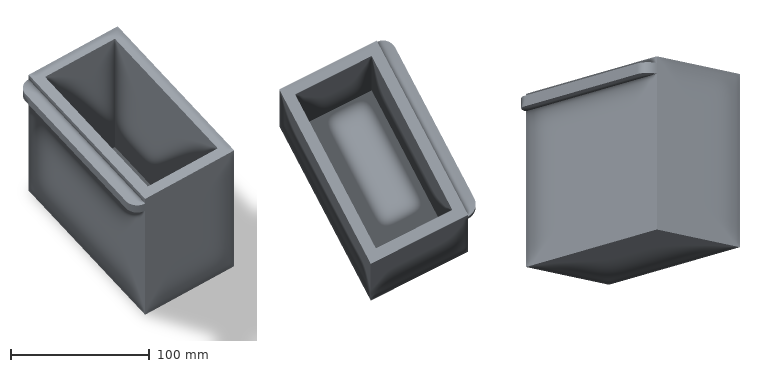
import cadquery as cq

box_width = 144.5
box_depth = 79.0
box_height = 129.0
wall = 8.5
floor = wall

ledge_reach = 10.0
ledge_thickness = 8.0
ledge_drop = 5.0
ledge_corner_radius = ledge_reach


def make_box():
    """Open-topped rectangular box, centred on X with its front face at Y = 0."""
    outer = cq.Workplane("XY").box(box_width, box_depth, box_height, centered=(True, False, False))
    cavity = (
        cq.Workplane("XY")
        .box(box_width - 2 * wall, box_depth - 2 * wall, box_height - floor, centered=(True, False, False))
        .translate((0, wall, floor))
    )
    return outer.cut(cavity)


def make_ledge():
    """Full-width ledge below the rim, rooted in the front wall, with rounded outer corners."""
    ledge_bottom = box_height - ledge_drop - ledge_thickness
    return (
        cq.Workplane("XY")
        .box(box_width, ledge_reach + wall, ledge_thickness, centered=(True, False, False))
        .edges("|Z and <Y")
        .fillet(ledge_corner_radius)
        .translate((0, -ledge_reach, ledge_bottom))
    )


result = make_box().union(make_ledge())